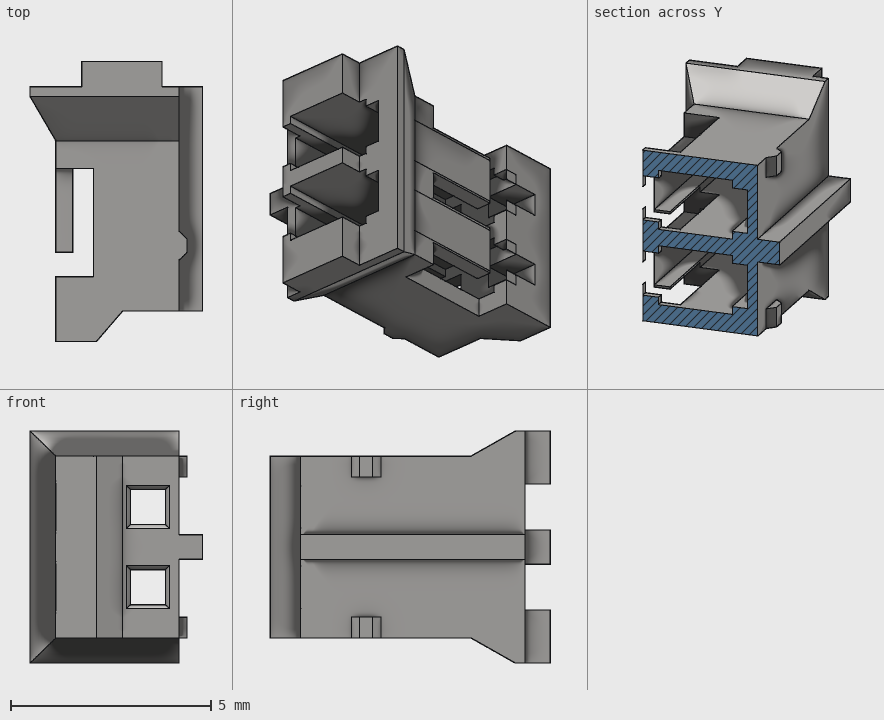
import cadquery as cq


length = 7.0
body_left = 0.645
body_right = 3.725
body_height = 4.55
nose_flat_right = 1.66
entry_face_x = 2.32
entry_face_y = 0.76

collar_height = 5.8
collar_taper_start = 5.02
collar_rim_start = 6.125
collar_end = 6.37
tab_left = 1.29
tab_right = 3.305

rib_right = 4.31
rib_height = 0.615
bump_projection = 0.2
bump_start = 2.03
bump_end = 2.765
bump_height = 0.525

contact_pitch = 2.0
cavity_start = 1.27
skin = 0.01
lance_channel_width = 1.16
narrow_width = 1.14
wide_width = 1.555
wide_left = 1.07
wide_right = 3.045
cavity_right = 3.445

entry_size = 0.87
entry_center_x = 2.95
entry_lead_in = 0.105

window_start = 1.625
window_end = 4.325
window_floor = 1.58
lance_width = 1.29
lance_tip = 2.23
notch_width = 0.595
notch_start = 0.575


def block(x_range, y_range, height, z_center=0.0):
    """Box between two X and two Y positions, centred on z_center."""
    size_x = x_range[1] - x_range[0]
    size_y = y_range[1] - y_range[0]
    return (
        cq.Workplane("XY")
        .box(size_x, size_y, height, centered=(False, False, True))
        .translate((x_range[0], y_range[0], z_center))
    )


def prism(outline, height, z_center=0.0):
    """XY outline extruded along Z, centred on z_center."""
    return (
        cq.Workplane("XY", origin=(0, 0, z_center))
        .polyline(outline)
        .close()
        .extrude(height / 2, both=True)
    )


def tapered_block(near_rect, near_y, far_rect, far_y, z_center=0.0):
    """Loft along Y between two rectangles, each given as (left, right, height)."""

    def outline(rect, y):
        left, right, height = rect
        plane = cq.Plane(origin=(0, y, z_center), xDir=(1, 0, 0), normal=(0, -1, 0))
        return cq.Workplane(plane).center((left + right) / 2, 0).rect(right - left, height).val()

    return cq.Workplane(cq.Solid.makeLoft([outline(near_rect, near_y), outline(far_rect, far_y)], True))


def make_body():
    return prism(
        [
            (body_left, 0),
            (nose_flat_right, 0),
            (entry_face_x, entry_face_y),
            (body_right, entry_face_y),
            (body_right, collar_end),
            (body_left, collar_end),
        ],
        body_height,
    )


def make_collar():
    taper = tapered_block(
        (body_left, body_right, body_height),
        collar_taper_start,
        (0, body_right, collar_height),
        collar_rim_start,
    )
    rim = block((0, body_right), (collar_rim_start, collar_end), collar_height)
    return taper.union(rim)


def make_tab():
    return block((tab_left, tab_right), (collar_end, length), collar_height)


def make_rib():
    return block((body_right, rib_right), (entry_face_y, collar_end), rib_height)


def make_bump(side):
    """Detent with 45 degree ramps, flush with the top (side 1) or bottom (side -1) of the body."""
    bump_right = body_right + bump_projection
    outline = [
        (body_right, bump_start),
        (bump_right, bump_start + bump_projection),
        (bump_right, bump_end - bump_projection),
        (body_right, bump_end),
    ]
    return prism(outline, bump_height, side * (body_height - bump_height) / 2)


def make_cavity(z):
    """Stepped contact cavity, open at the mating end; only a thin skin closes its left side."""
    cavity_span = (cavity_start, length)
    lance_channel = block((body_left + skin, wide_left), cavity_span, lance_channel_width, z)
    wide_part = block((wide_left, wide_right), cavity_span, wide_width, z)
    narrow_part = block((wide_right, cavity_right), cavity_span, narrow_width, z)
    return lance_channel.union(wide_part).union(narrow_part)


def make_wire_entry(z):
    """Square hole from the entry face into the cavity, with a 45 degree lead-in."""
    left = entry_center_x - entry_size / 2
    right = entry_center_x + entry_size / 2
    lead_in = tapered_block(
        (left - entry_lead_in, right + entry_lead_in, entry_size + 2 * entry_lead_in),
        entry_face_y,
        (left, right, entry_size),
        entry_face_y + entry_lead_in,
        z,
    )
    return block((left, right), (entry_face_y, cavity_start), entry_size, z).union(lead_in)


def make_lance(z):
    """Beam left standing in the window, cantilevered from the collar side."""
    return block((body_left, wide_left), (lance_tip, window_end), lance_width, z)


def make_notch(z):
    """Narrow access slot running from the window into the nose."""
    return block((body_left, window_floor), (notch_start, window_start), notch_width, z)


contact_positions = (-contact_pitch / 2, contact_pitch / 2)

result = make_body()
result = result.cut(block((body_left, window_floor), (window_start, window_end), body_height))
result = result.union(make_collar()).union(make_tab()).union(make_rib())
for side in (-1, 1):
    result = result.union(make_bump(side))
for z in contact_positions:
    result = result.union(make_lance(z))
for z in contact_positions:
    result = result.cut(make_cavity(z)).cut(make_wire_entry(z)).cut(make_notch(z))